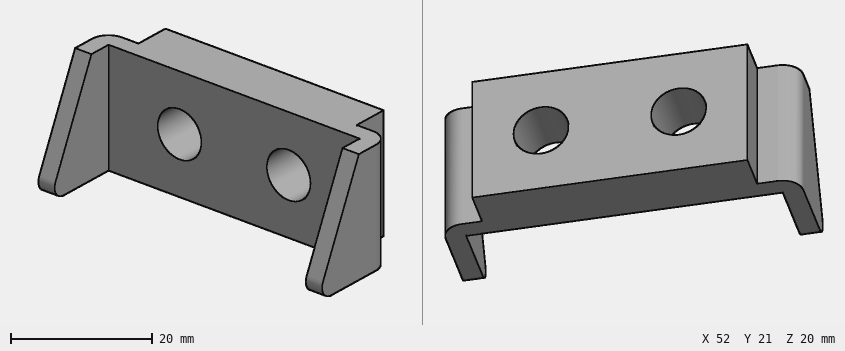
import cadquery as cq
import math

width = 52.0
depth = 21.0
height = 20.0

wall = 3.0
bend_radius = 3.0

block_width = 40.0
block_depth = 6.0

hole_diameter = 8.0
hole_spacing = 20.0

slope_angle = math.radians(25.0)
toe_radius = 2.0

plate_back = -block_depth
plate_front = plate_back - wall
arm_front = -depth


def make_channel():
    """U-shaped channel: back plate with two arms reaching toward -Y."""
    arm_length = depth - block_depth
    outer = (
        cq.Workplane("XY")
        .center(0, plate_back - arm_length / 2)
        .rect(width, arm_length)
        .extrude(height)
        .edges("|Z and >Y")
        .fillet(bend_radius)
    )
    inner_length = arm_length - wall
    inner = (
        cq.Workplane("XY")
        .center(0, plate_front - inner_length / 2)
        .rect(width - 2 * wall, inner_length)
        .extrude(height)
    )
    return outer.cut(inner)


def make_side_profile():
    """Side outline, sloped at the front and rounded at the toe, across the full width."""
    toe_y = arm_front + toe_radius
    toe_z = toe_radius
    tangent_y = toe_y - toe_radius * math.cos(slope_angle)
    tangent_z = toe_z + toe_radius * math.sin(slope_angle)
    slope_top_y = tangent_y + (height - tangent_z) * math.tan(slope_angle)
    return (
        cq.Workplane("YZ")
        .moveTo(plate_back, 0)
        .lineTo(toe_y, 0)
        .threePointArc((arm_front, toe_z), (tangent_y, tangent_z))
        .lineTo(slope_top_y, height)
        .lineTo(plate_back, height)
        .close()
        .extrude(width / 2, both=True)
    )


def make_block():
    """Solid block on the back of the plate, overlapping the plate thickness."""
    return (
        cq.Workplane("XY")
        .center(0, plate_front / 2)
        .rect(block_width, -plate_front)
        .extrude(height)
    )


def make_holes():
    """Two holes along Y through the plate and block."""
    return (
        cq.Workplane("XZ")
        .center(0, height / 2)
        .rarray(hole_spacing, 1, 2, 1)
        .circle(hole_diameter / 2)
        .extrude(depth)
    )


result = make_channel().intersect(make_side_profile()).union(make_block()).cut(make_holes())